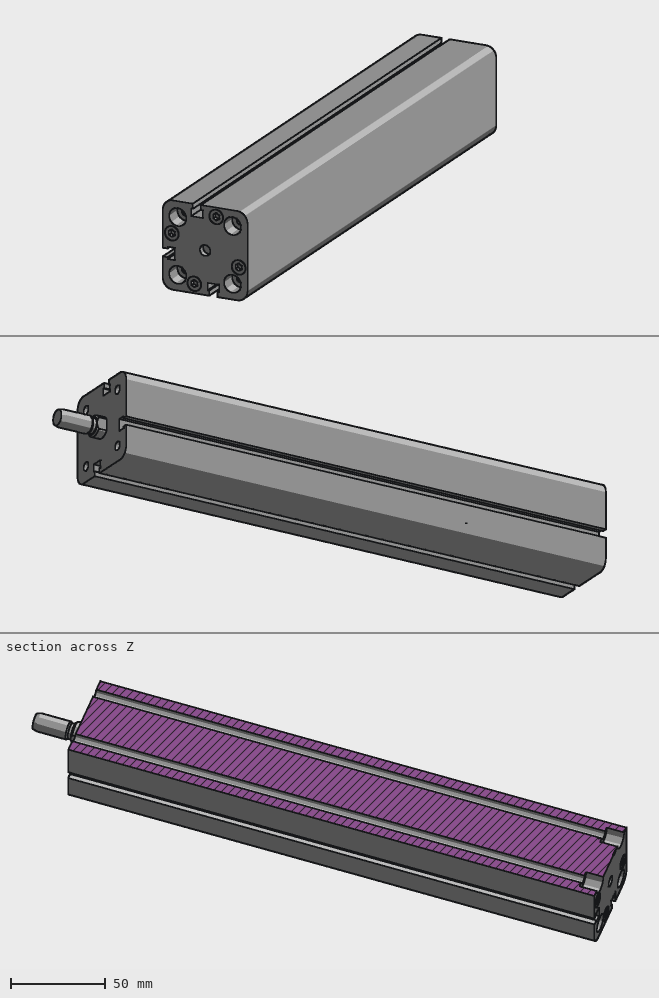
import cadquery as cq

total_length = 322.5
body_width = 50.0
rod_reach = 27.5
body_length = total_length - rod_reach
corner_radius = 6.0
half_width = body_width / 2

slot_offset = 4.8
slot_mouth_width = 4.8
slot_floor_width = 6.8
slot_depth = 7.0
slot_lip = 3.0
slot_turns = (0, 90, 180)

mount_offset = 16.0
mount_bore = 4.8
mount_counterbore = 10.0
mount_counterbore_depth = 9.7

screw_offset = 6.5
screw_radial = 19.7
screw_recess = 8.0
screw_socket_flats = 3.5
screw_recess_depth = 0.3
screw_socket_depth = 3.0

centre_hole = 6.0
centre_hole_depth = 4.0

collar_diameter = 12.0
collar_length = 5.8
collar_chamfer = 1.0
flat_width = 10.0
neck_diameter = 8.7
thread_diameter = 10.0
thread_length = 19.7
thread_end_chamfer = 1.0
tip_chamfer_length = 2.3
tip_diameter = 8.7
neck_length = rod_reach - collar_length - thread_length


def face_plane(y):
    """Plane across the cylinder axis: local x is X, local y is Z, extruding toward +Y."""
    return cq.Workplane(cq.Plane(origin=(0, y, 0), xDir=(1, 0, 0), normal=(0, -1, 0)))


def rod_along_y(points, length, diameter, start=0.0):
    """Equal round bars running toward +Y from the plane Y = start."""
    return face_plane(start).pushPoints(points).circle(diameter / 2).extrude(-length)


def square_body():
    """Square bar with rounded long edges."""
    body = face_plane(0).rect(body_width, body_width).extrude(-body_length)
    return body.edges("|Y").fillet(corner_radius)


def slot_channel(width, height):
    """Straight channel of the given height, standing on the floor of the top slot."""
    middle = half_width - slot_depth + height / 2
    return face_plane(0).center(-slot_offset, middle).rect(width, height).extrude(-body_length)


def sensor_slot():
    """T-shaped channel in the +Z side, running the full body length."""
    mouth = slot_channel(slot_mouth_width, slot_depth)
    cavity = slot_channel(slot_floor_width, slot_depth - slot_lip)
    return mouth.union(cavity)


def hex_sockets(points):
    """Hexagonal wrench sockets sunk from the front face, each with two flats facing +X and -X."""
    sockets = face_plane(0).pushPoints(points)
    sockets = sockets.polygon(6, screw_socket_flats, circumscribed=True)
    return sockets.extrude(-screw_socket_depth)


def piston_rod():
    """Collar with two wrench flats, narrow neck and chamfered thread shank."""
    collar = rod_along_y([(0, 0)], collar_length, collar_diameter, body_length)
    collar = collar.faces(">Y").chamfer(collar_chamfer)
    flat_slab = face_plane(body_length).rect(flat_width, collar_diameter).extrude(-collar_length)
    collar = collar.intersect(flat_slab)
    neck_start = body_length + collar_length
    neck = rod_along_y([(0, 0)], neck_length, neck_diameter, neck_start)
    thread = rod_along_y([(0, 0)], thread_length, thread_diameter, neck_start + neck_length)
    tip_step = (thread_diameter - tip_diameter) / 2
    thread = thread.faces(">Y").edges().chamfer(tip_chamfer_length, tip_step)
    thread = thread.faces("<Y").chamfer(thread_end_chamfer)
    return collar.union(neck).union(thread)


part = square_body()

for turn in slot_turns:
    part = part.cut(sensor_slot().rotate((0, 0, 0), (0, -1, 0), turn))

mount_points = [(x, z) for x in (-mount_offset, mount_offset) for z in (-mount_offset, mount_offset)]
part = part.cut(rod_along_y(mount_points, body_length, mount_bore))
part = part.cut(rod_along_y(mount_points, mount_counterbore_depth, mount_counterbore))

screw_points = [
    (screw_offset, screw_radial),
    (-screw_radial, screw_offset),
    (-screw_offset, -screw_radial),
    (screw_radial, -screw_offset),
]
part = part.cut(rod_along_y(screw_points, screw_recess_depth, screw_recess))
part = part.cut(hex_sockets(screw_points))

part = part.cut(rod_along_y([(0, 0)], centre_hole_depth, centre_hole))

result = part.union(piston_rod())